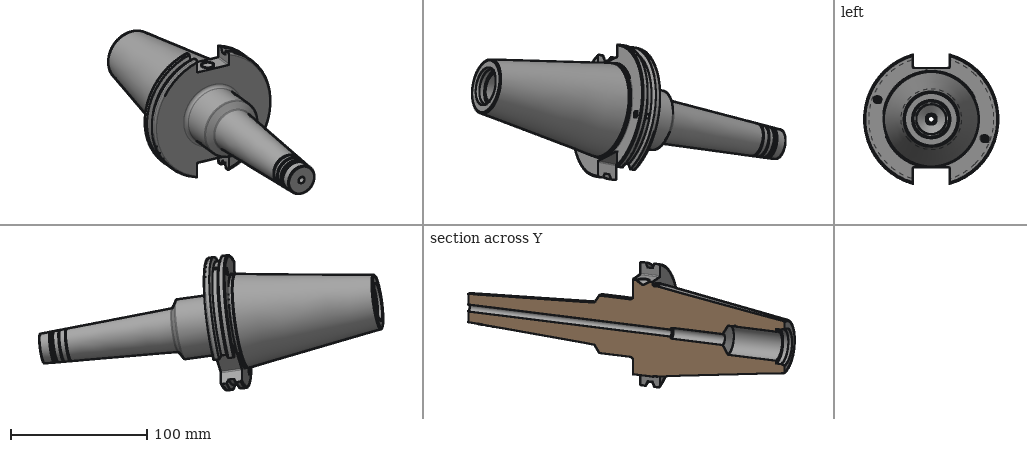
import cadquery as cq
import math


taper_length = 101.6
gauge_length = 150.0

gauge_radius = 69.85 / 2
taper_ratio = 7 / 24
small_end_chamfer = 0.8
relief_radius = 69.25 / 2
relief_start = 0.8
relief_fillet = 0.8

flange_radius = 98.43 / 2
flange_back = 3.18
flange_front = 19.05
flange_back_chamfer = 0.8
flange_front_fillet = 1.5
groove_center = 11.11
groove_floor_half_width = 1.9
groove_mouth_half_width = 3.5
groove_depth = 3.4
groove_floor_radius = flange_radius - groove_depth

hub_radius = 44.5 / 2
hub_fillet = 2.5
hub_end = 46.0
hub_chamfer_angle = 57.0
hub_edge_fillet = 1.0
nose_taper_angle = 3.0
nose_tip_radius = 11.1
nose_tip_chamfer = 0.5

nose_groove_depth = 0.2
nose_groove_width = 0.8
nose_groove_starts = [129.6, 134.6, 139.3, 141.6]

counterbore_radius = 26.2 / 2
counterbore_depth = 6.7
lead_in_length = 2.6
lead_in_height = 0.9
stud_bore_radius = 21.97 / 2
stud_bore_depth = 45.0
feed_bore_radius = 8.0 / 2
feed_bore_depth = 90.0
through_bore_radius = 5.0 / 2
drill_tip_angle = 118.0

slot_width = 26.8
slot_fillet = 0.8
upper_slot_floor = 37.7
lower_slot_floor = 35.3
dimple_diameter = 9.53
dimple_depth = 0.5

coolant_angle = 20.0
coolant_radius = 42.0
coolant_tilt = 20.0
coolant_mouth_diameter = 4.92
coolant_mouth_depth = 2.2
coolant_diameter = 4.13
coolant_depth = 6.0
cross_hole_diameter = 3.24
cross_hole_depth = 5.0


def tip_length(radius_drop):
    """Length of a drill-point cone over the given drop in radius."""
    return radius_drop / math.tan(math.radians(drill_tip_angle / 2))


def nose_radius(x):
    """Radius of the slender nose cone at position x."""
    return nose_tip_radius + (gauge_length - x) * math.tan(math.radians(nose_taper_angle))


def drill(start, direction, diameter, depth):
    """Blind drilled hole with a conical bottom, as a solid to cut."""
    radius = diameter / 2
    profile = (
        cq.Workplane("XZ")
        .polyline([(0, 0), (radius, 0), (radius, depth), (0, depth + tip_length(radius))])
        .close()
    )
    tool = profile.revolve(360, (0, 0), (0, 1)).val()
    return tool.moved(cq.Location(cq.Plane(origin=start, normal=direction)))


def make_body():
    """Solid of revolution: taper, relief, grooved flange, hub and nose."""
    small_end_radius = gauge_radius - taper_length * taper_ratio / 2
    small_end_shoulder = small_end_radius + small_end_chamfer * taper_ratio / 2
    chamfer_slope = math.tan(math.radians(hub_chamfer_angle))
    nose_slope = math.tan(math.radians(nose_taper_angle))
    nose_start = hub_end + (hub_radius - nose_radius(hub_end)) / (chamfer_slope - nose_slope)

    profile = (
        cq.Workplane("XY")
        .moveTo(-taper_length, 0)
        .lineTo(-taper_length, small_end_radius - small_end_chamfer)
        .lineTo(-taper_length + small_end_chamfer, small_end_shoulder)
        .lineTo(0, gauge_radius)
        .lineTo(relief_start, relief_radius)
        .lineTo(flange_back - relief_fillet, relief_radius)
        .radiusArc((flange_back, relief_radius + relief_fillet), -relief_fillet)
        .lineTo(flange_back, flange_radius - flange_back_chamfer)
        .lineTo(flange_back + flange_back_chamfer, flange_radius)
        .lineTo(groove_center - groove_mouth_half_width, flange_radius)
        .lineTo(groove_center - groove_floor_half_width, groove_floor_radius)
        .lineTo(groove_center + groove_floor_half_width, groove_floor_radius)
        .lineTo(groove_center + groove_mouth_half_width, flange_radius)
        .lineTo(flange_front - flange_front_fillet, flange_radius)
        .radiusArc((flange_front, flange_radius - flange_front_fillet), flange_front_fillet)
        .lineTo(flange_front, hub_radius + hub_fillet)
        .radiusArc((flange_front + hub_fillet, hub_radius), -hub_fillet)
        .lineTo(hub_end, hub_radius)
        .lineTo(nose_start, nose_radius(nose_start))
    )
    for start in nose_groove_starts:
        end = start + nose_groove_width
        profile = (
            profile.lineTo(start, nose_radius(start))
            .lineTo(start, nose_radius(start) - nose_groove_depth)
            .lineTo(end, nose_radius(end) - nose_groove_depth)
            .lineTo(end, nose_radius(end))
        )
    tip_shoulder = gauge_length - nose_tip_chamfer
    profile = (
        profile.lineTo(tip_shoulder, nose_radius(tip_shoulder))
        .lineTo(gauge_length, nose_tip_radius - nose_tip_chamfer)
        .lineTo(gauge_length, 0)
        .close()
    )
    body = profile.revolve(360, (0, 0, 0), (1, 0, 0))
    margin = 0.01
    chamfer_rims = cq.selectors.BoxSelector(
        (hub_end - margin, -flange_radius, -flange_radius),
        (nose_start + margin, flange_radius, flange_radius),
    )
    return body.edges(chamfer_rims).edges("%CIRCLE").fillet(hub_edge_fillet)


def make_bore():
    """Stepped bore from the small end of the taper through to the nose tip."""
    back = -taper_length
    stud_bore_end = back + stud_bore_depth
    stud_tip_end = stud_bore_end + tip_length(stud_bore_radius - feed_bore_radius)
    feed_bore_end = back + feed_bore_depth
    feed_tip_end = feed_bore_end + tip_length(feed_bore_radius - through_bore_radius)
    points = [
        (back, 0),
        (back, counterbore_radius + lead_in_height),
        (back + lead_in_length, counterbore_radius),
        (back + counterbore_depth, counterbore_radius),
        (back + counterbore_depth, stud_bore_radius),
        (stud_bore_end, stud_bore_radius),
        (stud_tip_end, feed_bore_radius),
        (feed_bore_end, feed_bore_radius),
        (feed_tip_end, through_bore_radius),
        (gauge_length, through_bore_radius),
        (gauge_length, 0),
    ]
    return cq.Workplane("XY").polyline(points).close().revolve(360, (0, 0, 0), (1, 0, 0))


def make_slot(floor, side):
    """Drive slot across the flange; side is +1 for the top and -1 for the bottom."""
    height = flange_radius - floor
    middle = ((flange_back + flange_front) / 2, 0, side * (floor + height / 2))
    block = cq.Workplane("XY").box(flange_front - flange_back, slot_width, height)
    floor_face = "<Z" if side > 0 else ">Z"
    return block.faces(floor_face).edges("|X").fillet(slot_fillet).translate(middle)


def cut_coolant_holes(body, side):
    """Tilted coolant hole in the back of the flange and its cross hole in the V-groove."""
    angle = math.radians(coolant_angle)
    tilt = math.radians(coolant_tilt)
    outward = cq.Vector(0, side * math.cos(angle), side * math.sin(angle))
    inward_axis = cq.Vector(math.cos(tilt), 0, 0) - outward * math.sin(tilt)
    mouth = outward * coolant_radius + cq.Vector(flange_back, 0, 0)
    lead = coolant_mouth_diameter * math.tan(tilt)
    start = mouth - inward_axis * lead
    body = body.cut(drill(start, inward_axis, coolant_mouth_diameter, coolant_mouth_depth + lead))
    body = body.cut(drill(start, inward_axis, coolant_diameter, coolant_depth + lead))

    cross_start = outward * flange_radius + cq.Vector(groove_center, 0, 0)
    cross_reach = flange_radius - groove_floor_radius + cross_hole_depth
    return body.cut(drill(cross_start, outward * -1, cross_hole_diameter, cross_reach))


result = make_body().cut(make_bore())
result = result.cut(make_slot(upper_slot_floor, 1)).cut(make_slot(lower_slot_floor, -1))
dimple_start = cq.Vector(groove_center, 0, upper_slot_floor)
result = result.cut(drill(dimple_start, cq.Vector(0, 0, -1), dimple_diameter, dimple_depth))
for flange_side in (1, -1):
    result = cut_coolant_holes(result, flange_side)